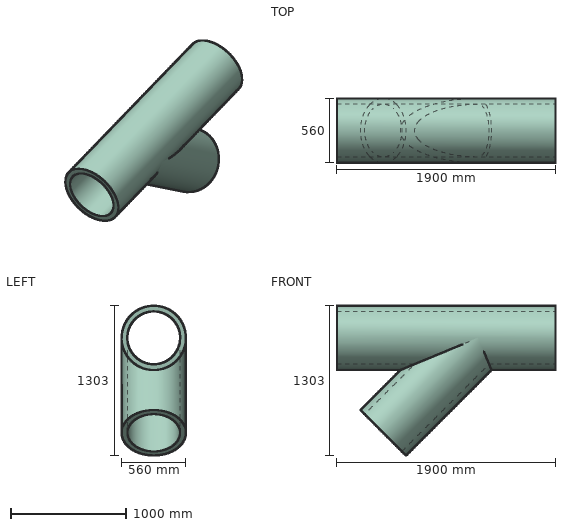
import cadquery as cq
import math

main_length = 1900.0
outer_diameter = 560.0
bore_diameter = 458.0

overall_height = 1303.0
branch_angle = 45.0
junction_from_left = 1227.0

outer_radius = outer_diameter / 2
slope = math.radians(branch_angle)
branch_drop = overall_height - outer_radius - outer_radius * math.cos(slope)
branch_length = branch_drop / math.sin(slope)

main_start = cq.Vector(-main_length / 2, 0, 0)
main_direction = cq.Vector(1, 0, 0)
junction = main_start + main_direction * junction_from_left
branch_direction = cq.Vector(-math.cos(slope), 0, -math.sin(slope))


def wye_cylinders(diameter):
    """Union of the main and branch cylinders at one diameter."""
    radius = diameter / 2
    main = cq.Solid.makeCylinder(radius, main_length, main_start, main_direction)
    branch = cq.Solid.makeCylinder(radius, branch_length, junction, branch_direction)
    return cq.Workplane(main).union(cq.Workplane(branch))


result = wye_cylinders(outer_diameter).cut(wye_cylinders(bore_diameter))